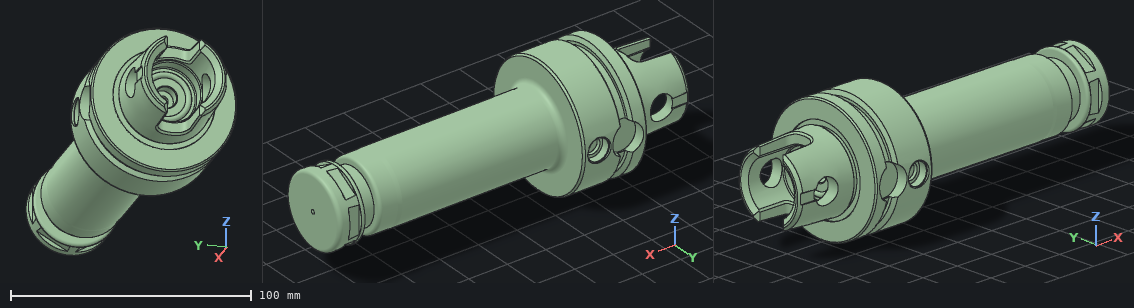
import cadquery as cq
import math


length = 182.0
flange_start = 31.8
flange_end = 65.2
shaft_end = 160.7
nut_start = 168.2

taper_tip_radius = 18.5
taper_slope = 0.05
taper_end = 30.2
undercut_radius = 19.1
tip_chamfer_length = 1.8
tip_chamfer_height = 1.3
mouth_radius = 16.4
mouth_length = 1.8
bore_radius = 13.6
bore_depth = 21.8
middle_bore_radius = 13.1
inner_bore_radius = 12.5
inner_bore_depth = 29.1

relief_radius = 22.0
relief_depth = 1.0

flange_radius = 31.5
flange_chamfer = 0.7
flange_rear_chamfer_length = 1.1
groove_radius = 27.8
groove_start = 39.9
groove_end = 44.2
groove_bevel_length = 1.1
groove_bevel_height = 2.2

shaft_radius = 18.0
shaft_fillet = 3.1
sleeve_fillet = 1.6
sleeve_start = 148.9
sleeve_radius = 17.8
sleeve_step_length = 2.2
neck_radius = 14.0
nut_rim_radius = 18.5
nut_fillet = 2.0
bead_radius = 1.3
bead_drop = 0.4
flat_count = 6
flat_distance = 16.7
flat_start = 170.7
flat_end = 176.2
flat_wall_run = 0.5
flat_cut_height = 2.2

slot_width = 13.8
slot_depth = 19.8
slot_corner_radius = 3.5
slot_mouth_chamfer = 1.8
slot_outer_chamfer = 1.0
slot_inner_chamfer = 0.7

cross_hole_diameter = 12.5
cross_hole_x = 15.1
keyway_width = 5.1
keyway_floor = 18.0

pocket_diameter = 16.0
pocket_x = 41.9
pocket_floor = 25.8
screw_x = 56.8
screw_mouth_diameter = 12.0
screw_bore_diameter = 11.0
screw_seat_diameter = 8.0
screw_bore_floor = 26.4
screw_seat_floor = 24.5

ridge_inner_radius = 8.46
ridge_outer_radius = 11.1
ridge_width = ridge_outer_radius - ridge_inner_radius
socket_mouth_diameter = 10.0
socket_diameter = 9.3
socket_depth = 5.5
coolant_mouth_diameter = 5.0
coolant_mouth_depth = 1.8
coolant_diameter = 2.0


def taper_radius(x):
    return taper_tip_radius + taper_slope * x


def turned(profile):
    """Turn a closed outline of (x, radius) around the X axis."""
    return profile.close().revolve(360, (0, 0, 0), (1, 0, 0))


def axial_cylinder(start, end, diameter):
    return cq.Workplane("YZ", origin=(start, 0, 0)).circle(diameter / 2).extrude(end - start)


def taper_body():
    tip_radius = taper_radius(tip_chamfer_length)
    end_radius = taper_radius(taper_end)
    relief_floor = flange_start + relief_depth
    return turned(
        cq.Workplane("XY")
        .lineTo(0, tip_radius - tip_chamfer_height)
        .lineTo(tip_chamfer_length, tip_radius)
        .lineTo(taper_end, end_radius)
        .lineTo(taper_end + end_radius - undercut_radius, undercut_radius)
        .lineTo(relief_floor, undercut_radius)
        .lineTo(relief_floor, 0)
    )


def taper_bore():
    return turned(
        cq.Workplane("XY")
        .lineTo(0, mouth_radius)
        .lineTo(mouth_length, bore_radius)
        .lineTo(bore_depth, bore_radius)
        .lineTo(bore_depth + bore_radius - middle_bore_radius, middle_bore_radius)
        .lineTo(inner_bore_depth - middle_bore_radius + inner_bore_radius, middle_bore_radius)
        .lineTo(inner_bore_depth, inner_bore_radius)
        .lineTo(inner_bore_depth, 0)
    )


def drive_slot():
    half_width = slot_width / 2
    half_mouth = half_width + slot_mouth_chamfer
    slot = (
        cq.Workplane("XY", origin=(0, 0, -flange_radius))
        .moveTo(0, -half_mouth)
        .lineTo(slot_mouth_chamfer, -half_width)
        .lineTo(slot_depth, -half_width)
        .lineTo(slot_depth, half_width)
        .lineTo(slot_mouth_chamfer, half_width)
        .lineTo(0, half_mouth)
        .close()
        .extrude(2 * flange_radius)
    )
    return slot.faces(">X").edges("|Z").fillet(slot_corner_radius)


def slot_rims(lowest, highest):
    """Select the slot edges between two heights, above and below the axis."""
    margin = 0.02
    start = slot_mouth_chamfer + margin
    end = slot_depth + margin
    side = slot_width / 2 + margin
    upper = cq.selectors.BoxSelector((start, -side, lowest), (end, side, highest))
    lower = cq.selectors.BoxSelector((start, -side, -highest), (end, side, -lowest))
    return upper + lower


def slotted_taper():
    taper = taper_body().cut(taper_bore()).cut(drive_slot())
    wall_middle = (taper_tip_radius + bore_radius) / 2 - slot_outer_chamfer
    taper = taper.edges(slot_rims(wall_middle, flange_radius)).chamfer(slot_outer_chamfer)
    return taper.edges(slot_rims(bore_radius / 2, bore_radius + 0.02)).chamfer(slot_inner_chamfer)


def flange():
    left_bevel = groove_start - groove_bevel_length
    right_bevel = groove_end + groove_bevel_length
    bevel_foot = flange_radius - groove_bevel_height
    body = turned(
        cq.Workplane("XY")
        .moveTo(flange_start, 0)
        .lineTo(flange_start, flange_radius - flange_chamfer)
        .lineTo(flange_start + flange_chamfer, flange_radius)
        .lineTo(left_bevel, flange_radius)
        .lineTo(groove_start, bevel_foot)
        .lineTo(groove_start, groove_radius)
        .lineTo(groove_end, groove_radius)
        .lineTo(groove_end, bevel_foot)
        .lineTo(right_bevel, flange_radius)
        .lineTo(flange_end - flange_rear_chamfer_length, flange_radius)
        .lineTo(flange_end, flange_radius - flange_chamfer)
        .lineTo(flange_end, 0)
    )
    return body.cut(axial_cylinder(flange_start, flange_start + relief_depth, 2 * relief_radius))


def shaft():
    return turned(
        cq.Workplane("XY")
        .moveTo(flange_end, 0)
        .lineTo(flange_end, shaft_radius + shaft_fillet)
        .radiusArc((flange_end + shaft_fillet, shaft_radius), -shaft_fillet)
        .lineTo(sleeve_start, shaft_radius)
        .lineTo(sleeve_start + sleeve_step_length, sleeve_radius)
        .lineTo(shaft_end - sleeve_fillet, sleeve_radius)
        .radiusArc((shaft_end, sleeve_radius - sleeve_fillet), sleeve_fillet)
        .lineTo(shaft_end, neck_radius)
        .lineTo(nut_start, neck_radius)
        .lineTo(nut_start, 0)
    )


def clamping_nut():
    half_chord = math.sqrt(bead_radius**2 - (bead_radius - bead_drop) ** 2)
    bead_peak = nut_start + bead_radius
    bead_end = (bead_peak + half_chord, nut_rim_radius - bead_drop)
    nut = turned(
        cq.Workplane("XY")
        .moveTo(nut_start, 0)
        .lineTo(nut_start, nut_rim_radius - bead_radius)
        .threePointArc((bead_peak, nut_rim_radius), bead_end)
        .lineTo(length - nut_fillet, nut_rim_radius)
        .radiusArc((length, nut_rim_radius - nut_fillet), nut_fillet)
        .lineTo(length, 0)
    )
    notch = (
        cq.Workplane("XZ")
        .moveTo(flat_start, flat_distance)
        .lineTo(flat_end, flat_distance)
        .lineTo(flat_end + flat_wall_run, flat_distance + flat_cut_height)
        .lineTo(flat_start - flat_wall_run, flat_distance + flat_cut_height)
        .close()
        .extrude(nut_rim_radius / 2, both=True)
    )
    for index in range(flat_count):
        angle = 90 + index * 360 / flat_count
        nut = nut.cut(notch.rotate((0, 0, 0), (1, 0, 0), angle))
    return nut


def bore_floor_ridge():
    return turned(
        cq.Workplane("XY")
        .moveTo(inner_bore_depth, ridge_inner_radius)
        .radiusArc((inner_bore_depth, ridge_outer_radius), ridge_width / 2)
    )


def coolant_passage():
    socket_end = inner_bore_depth + socket_depth
    mouth = (socket_mouth_diameter - socket_diameter) / 2
    lead_in = turned(
        cq.Workplane("XY")
        .moveTo(inner_bore_depth, 0)
        .lineTo(inner_bore_depth, socket_mouth_diameter / 2)
        .lineTo(inner_bore_depth + mouth, socket_diameter / 2)
        .lineTo(socket_end, socket_diameter / 2)
        .lineTo(socket_end, 0)
    )
    return (
        lead_in
        .union(axial_cylinder(socket_end, socket_end + coolant_mouth_depth, coolant_mouth_diameter))
        .union(axial_cylinder(socket_end, length, coolant_diameter))
    )


def side_cylinder(x, floor, diameter):
    """Cylinder standing on the -Y side, from its floor outward past the flange."""
    return (
        cq.Workplane("XZ", origin=(x, -floor, 0))
        .circle(diameter / 2)
        .extrude(flange_radius + 1.8 - floor)
    )


def side_cuts():
    """Pocket, screw hole, cross hole and keyway on the -Y side."""
    mouth_depth = (screw_mouth_diameter - screw_bore_diameter) / 2
    mouth_floor = math.sqrt(flange_radius**2 - (screw_mouth_diameter / 2) ** 2) - mouth_depth
    keyway = (
        cq.Workplane("XY")
        .box(cross_hole_x, 1.8, keyway_width, centered=(False, False, True))
        .translate((0, -keyway_floor - 1.8, 0))
    )
    return (
        side_cylinder(pocket_x, pocket_floor, pocket_diameter)
        .union(side_cylinder(screw_x, mouth_floor, screw_mouth_diameter))
        .union(side_cylinder(screw_x, screw_bore_floor, screw_bore_diameter))
        .union(side_cylinder(screw_x, screw_seat_floor, screw_seat_diameter))
        .union(side_cylinder(cross_hole_x, 0, cross_hole_diameter))
        .union(keyway)
    )


result = (
    flange()
    .union(slotted_taper())
    .union(shaft())
    .union(clamping_nut())
    .cut(taper_bore())
    .union(bore_floor_ridge())
    .cut(coolant_passage())
    .cut(side_cuts())
    .cut(side_cuts().mirror("XZ"))
)